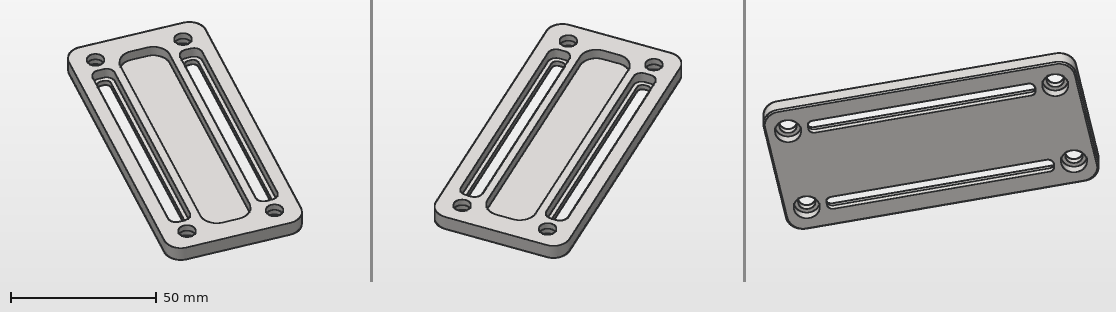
import cadquery as cq

length = 110.0
width = 50.0
thickness = 6.0
corner_radius = 6.0
bottom_chamfer = 0.5

hole_diameter = 6.0
hole_spacing_x = 94.0
row_spacing = 32.0
counterbore_diameter = 9.0
counterbore_depth = 3.5

pocket_width = 18.0
pocket_radius = 6.0
pocket_depth = 4.0

recess_length = 83.0
recess_width = 8.0
recess_radius = 3.0
recess_depth = 4.0
slot_ledge = 1.5
opening_radius = 2.0


def rounded_block(size_x, size_y, height, radius):
    """Block with rounded vertical edges, standing on Z = 0."""
    block = cq.Workplane("XY").box(size_x, size_y, height, centered=(True, True, False))
    return block.edges("|Z").fillet(radius)


def corner_cylinders(diameter, height):
    """Four cylinders on the corner hole axes, standing on Z = 0."""
    return (
        cq.Workplane("XY")
        .rarray(hole_spacing_x, row_spacing, 2, 2)
        .circle(diameter / 2)
        .extrude(height)
    )


def stepped_slot():
    """Cutter for one through slot with its upper recess."""
    opening = rounded_block(
        recess_length - 2 * slot_ledge,
        recess_width - 2 * slot_ledge,
        thickness,
        opening_radius,
    )
    recess = rounded_block(recess_length, recess_width, recess_depth, recess_radius)
    return opening.union(recess.translate((0, 0, thickness - recess_depth)))


plate = rounded_block(length, width, thickness, corner_radius)
plate = plate.faces("<Z").chamfer(bottom_chamfer)

holes = corner_cylinders(hole_diameter, thickness)
counterbores = corner_cylinders(counterbore_diameter, counterbore_depth)
plate = plate.cut(holes).cut(counterbores)

pocket = rounded_block(hole_spacing_x, pocket_width, pocket_depth, pocket_radius)
plate = plate.cut(pocket.translate((0, 0, thickness - pocket_depth)))

for side in (-1, 1):
    plate = plate.cut(stepped_slot().translate((0, side * row_spacing / 2, 0)))

result = plate